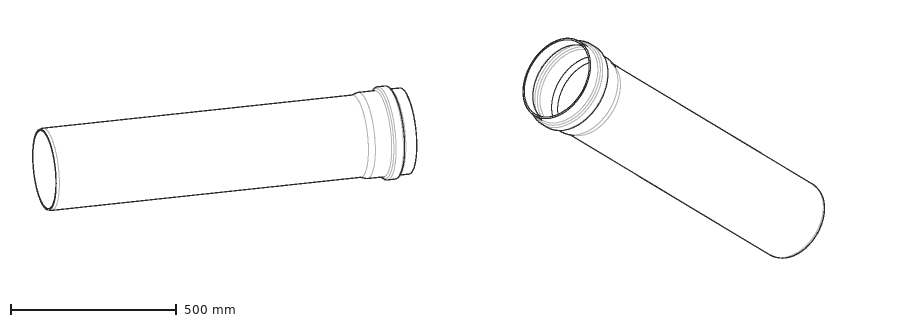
import cadquery as cq

TOTAL_LENGTH = 1134.0

BARREL_RADIUS = 250.25 / 2
BORE_RADIUS = 236.95 / 2
SPIGOT_CHAMFER_LENGTH = 9.0
SPIGOT_CHAMFER_DEPTH = 2.4

SOCKET_OUTER_RADIUS = 262.1 / 2
SOCKET_INNER_RADIUS = 251.5 / 2
SOCKET_DEPTH = 131.0
TAPER_LENGTH = 20.0

BEAD_OUTER_RADIUS = 283.3 / 2
BEAD_INNER_RADIUS = 273.9 / 2
BEAD_CENTER_OFFSET = 57.2
BEAD_FLANK_SPACING = 34.0
BEAD_WALL = BEAD_OUTER_RADIUS - BEAD_INNER_RADIUS
GROOVE_FLANK_SPACING = BEAD_FLANK_SPACING - 2 * BEAD_WALL

SOCKET_END = TOTAL_LENGTH - SOCKET_DEPTH
TAPER_START = SOCKET_END - TAPER_LENGTH
BEAD_CENTER = TOTAL_LENGTH - BEAD_CENTER_OFFSET


def revolve_about_y(profile):
    """Turn a closed (radius, Y) profile into a solid of revolution about Y."""
    return profile.close().revolve(360, (0, 0, 0), (0, 1, 0))


def rounded_ring(base_radius, rim_radius, flank_spacing):
    """Disc at the bead whose flanks sweep from base to rim in two equal, tangent quarter arcs."""
    arc = (rim_radius - base_radius) / 2
    mid_radius = base_radius + arc
    half_flank = flank_spacing / 2
    half_base = half_flank + arc
    half_rim = half_flank - arc
    return revolve_about_y(
        cq.Workplane("XY")
        .moveTo(0, BEAD_CENTER - half_base)
        .lineTo(base_radius, BEAD_CENTER - half_base)
        .radiusArc((mid_radius, BEAD_CENTER - half_flank), arc)
        .radiusArc((rim_radius, BEAD_CENTER - half_rim), -arc)
        .lineTo(rim_radius, BEAD_CENTER + half_rim)
        .radiusArc((mid_radius, BEAD_CENTER + half_flank), -arc)
        .radiusArc((base_radius, BEAD_CENTER + half_base), arc)
        .lineTo(0, BEAD_CENTER + half_base)
    )


def outer_body():
    """Solid envelope: chamfered barrel, taper, socket and seal bead."""
    body = revolve_about_y(
        cq.Workplane("XY")
        .moveTo(0, 0)
        .lineTo(BARREL_RADIUS - SPIGOT_CHAMFER_DEPTH, 0)
        .lineTo(BARREL_RADIUS, SPIGOT_CHAMFER_LENGTH)
        .lineTo(BARREL_RADIUS, TAPER_START)
        .lineTo(SOCKET_OUTER_RADIUS, SOCKET_END)
        .lineTo(SOCKET_OUTER_RADIUS, TOTAL_LENGTH)
        .lineTo(0, TOTAL_LENGTH)
    )
    return body.union(rounded_ring(SOCKET_OUTER_RADIUS, BEAD_OUTER_RADIUS, BEAD_FLANK_SPACING))


def inner_cavity():
    """Space inside: bore, taper, socket and seal groove."""
    cavity = revolve_about_y(
        cq.Workplane("XY")
        .moveTo(0, 0)
        .lineTo(BORE_RADIUS, 0)
        .lineTo(BORE_RADIUS, TAPER_START)
        .lineTo(SOCKET_INNER_RADIUS, SOCKET_END)
        .lineTo(SOCKET_INNER_RADIUS, TOTAL_LENGTH)
        .lineTo(0, TOTAL_LENGTH)
    )
    return cavity.union(rounded_ring(SOCKET_INNER_RADIUS, BEAD_INNER_RADIUS, GROOVE_FLANK_SPACING))


result = outer_body().cut(inner_cavity())